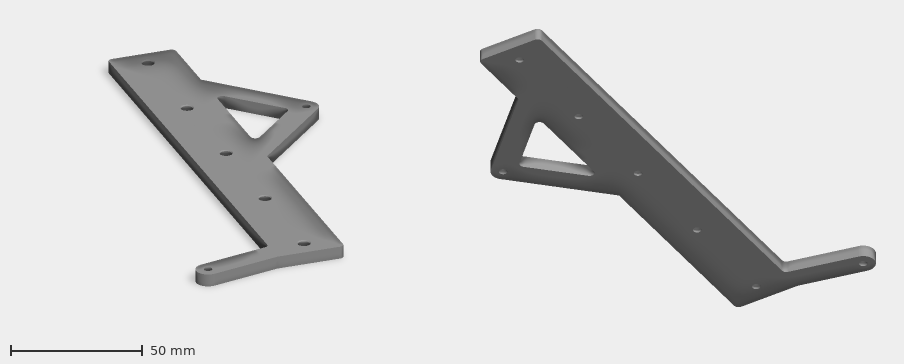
import cadquery as cq
import math

thickness = 5.0
bar_length = 185.9
bar_width = 27.2
corner_radius = 2.0

overall_length = 191.8
overall_width = 94.8
strap_radius = 4.8
pivot_diameter = 3.3

apex_x = 65.0
apex_y = 56.5
leg_angle = math.radians(45)
window_radius = 2.0
arm_root_radius = 2.0

screw_count = 5
screw_end_margin = 7.9
screw_diameter = 3.3
counterbore_diameter = 4.6
counterbore_depth = 4.0
mouth_diameter = 5.4
mouth_angle = 90

arm_tip_x = overall_length - strap_radius
arm_tip_y = apex_y + 2 * strap_radius - overall_width
screw_pitch = (bar_length - 2 * screw_end_margin) / (screw_count - 1)
apex_height = apex_y - bar_width


def plate(points):
    """Closed polygon extruded through the plate thickness."""
    return cq.Workplane("XY").polyline(points).close().extrude(thickness)


def disc(x, y, radius):
    """Full-thickness cylinder."""
    return cq.Workplane("XY").center(x, y).circle(radius).extrude(thickness)


def make_bar():
    """Long bar, left square where the arm joins it."""
    bar = cq.Workplane("XY").box(bar_length, bar_width, thickness, centered=False)
    bar = bar.edges("|Z and <X").fillet(corner_radius)
    return bar.edges("|Z and >X and >Y").fillet(corner_radius)


def make_bracket():
    """Triangular bracket with sides tangent to the rounded apex."""
    tangent_x = strap_radius * math.sin(leg_angle)
    tangent_y = apex_y + strap_radius * math.cos(leg_angle)
    half_base = apex_height / math.tan(leg_angle) + strap_radius / math.sin(leg_angle)
    body = plate([
        (apex_x - half_base, bar_width),
        (apex_x + half_base, bar_width),
        (apex_x + tangent_x, tangent_y),
        (apex_x - tangent_x, tangent_y),
    ])
    return body.union(disc(apex_x, apex_y, strap_radius))


def make_window():
    """Triangular opening that leaves legs of constant width."""
    half_base = apex_height / math.tan(leg_angle) - strap_radius / math.sin(leg_angle)
    window = plate([
        (apex_x - half_base, bar_width),
        (apex_x + half_base, bar_width),
        (apex_x, bar_width + half_base * math.tan(leg_angle)),
    ])
    return window.edges("|Z").fillet(window_radius)


def make_arm():
    """Slanted arm whose outer edge starts at the lower right bar corner."""
    corner_dx = arm_tip_x - bar_length
    corner_distance = math.hypot(corner_dx, arm_tip_y)
    slant = math.asin(strap_radius / corner_distance) + math.atan2(corner_dx, -arm_tip_y)
    across_x = strap_radius * math.cos(slant)
    across_y = strap_radius * math.sin(slant)
    arm_width_at_bar = 2 * strap_radius / math.cos(slant)
    body = plate([
        (bar_length, 0),
        (bar_length - arm_width_at_bar, 0),
        (arm_tip_x - across_x, arm_tip_y - across_y),
        (arm_tip_x + across_x, arm_tip_y + across_y),
    ])
    return body.union(disc(arm_tip_x, arm_tip_y, strap_radius))


result = make_bar().union(make_bracket()).union(make_arm()).cut(make_window())

result = result.edges(cq.selectors.NearestToPointSelector(
    (bar_length - 2 * strap_radius, 0, thickness / 2)
)).fillet(arm_root_radius)

for x, y in [(apex_x, apex_y), (arm_tip_x, arm_tip_y)]:
    result = result.cut(disc(x, y, pivot_diameter / 2))

screw_points = [(screw_end_margin + i * screw_pitch, bar_width / 2) for i in range(screw_count)]
result = (
    result.faces(">Z").workplane(origin=(0, 0, thickness))
    .pushPoints(screw_points)
    .cboreHole(screw_diameter, counterbore_diameter, counterbore_depth)
)
result = (
    result.faces(">Z").workplane(origin=(0, 0, thickness))
    .pushPoints(screw_points)
    .cskHole(screw_diameter, mouth_diameter, mouth_angle)
)